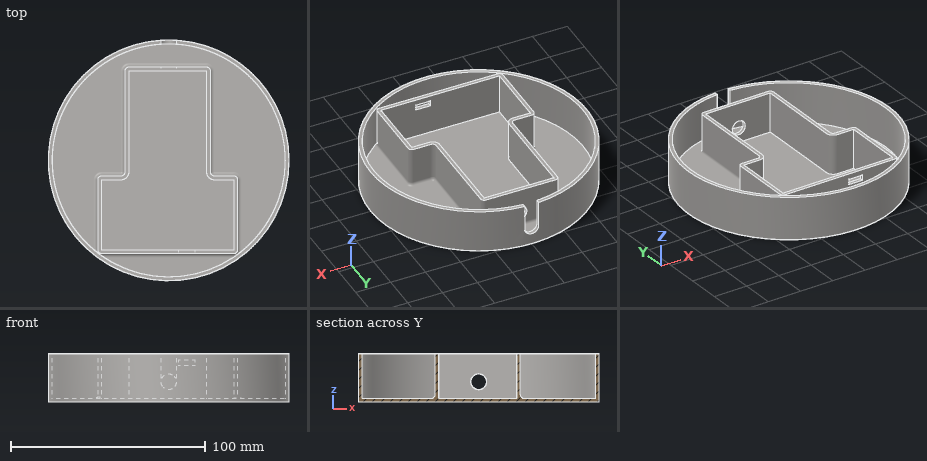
import cadquery as cq

outer_diameter = 124.0
wall = 2.0
floor = 2.0
height = 25.0
inner_diameter = outer_diameter - 2 * wall

compartment_x = -0.5
stem_width = 40.0
stem_end_y = 46.0
shoulder_y = -10.0
base_width = 68.0
base_end_y = -46.0
inside_corner_radius = 2 * wall

fillet_clearance = 0.001
foot_fillet = inside_corner_radius - wall - fillet_clearance

cable_diameter = 8.0
cable_z = 10.5

window_x = 9.25
window_z = 20.25
window_width = 8.5
window_height = 3.0


def cylinder(diameter, length, start_z=0.0):
    """Upright cylinder on the tray axis."""
    return cq.Workplane("XY", origin=(0, 0, start_z)).circle(diameter / 2).extrude(length)


def compartment_outline():
    """Inside outline of the compartment, rounded at its two re-entrant corners."""
    half_stem = stem_width / 2
    half_base = base_width / 2
    radius = inside_corner_radius
    return (
        cq.Workplane("XY", origin=(compartment_x, 0, floor))
        .moveTo(-half_base, base_end_y)
        .lineTo(half_base, base_end_y)
        .lineTo(half_base, shoulder_y)
        .lineTo(half_stem + radius, shoulder_y)
        .radiusArc((half_stem, shoulder_y + radius), radius)
        .lineTo(half_stem, stem_end_y)
        .lineTo(-half_stem, stem_end_y)
        .lineTo(-half_stem, shoulder_y + radius)
        .radiusArc((-half_stem - radius, shoulder_y), radius)
        .lineTo(-half_base, shoulder_y)
        .close()
    )


def make_tray():
    """Floor disc with a thin cylindrical rim."""
    bore = cylinder(inner_diameter, height - floor, floor)
    return cylinder(outer_diameter, height).cut(bore)


def make_compartment():
    """Solid compartment block with a filleted foot, trimmed to the tray."""
    slab = cylinder(2 * outer_diameter, floor)
    block = compartment_outline().offset2D(wall).extrude(height - floor)
    reach = inner_diameter / 2
    margin = floor / 10
    foot_edges = cq.selectors.BoxSelector(
        (-reach, -reach, floor - margin),
        (reach, reach, floor + margin),
    )
    filleted = slab.union(block).edges(foot_edges).fillet(foot_fillet)
    return filleted.intersect(cylinder(outer_diameter, height))


def cable_cutter():
    """Bore through the stem end wall and a round-bottomed slot through the rim."""
    bore_start_y = stem_end_y - wall
    bore = (
        cq.Workplane("XZ", origin=(0, bore_start_y, cable_z))
        .circle(cable_diameter / 2)
        .extrude(bore_start_y - outer_diameter / 2 - wall)
    )
    slot = (
        cq.Workplane("XY", origin=(0, outer_diameter / 2, cable_z))
        .box(cable_diameter, 4 * wall, height, centered=(True, True, False))
    )
    return bore.union(slot)


def window_cutter():
    """Small rectangular opening through the base end wall."""
    return (
        cq.Workplane("XY", origin=(window_x, base_end_y - wall / 2, window_z))
        .box(window_width, 2 * wall, window_height)
    )


result = (
    make_tray()
    .union(make_compartment())
    .cut(compartment_outline().extrude(height))
    .cut(cable_cutter())
    .cut(window_cutter())
)